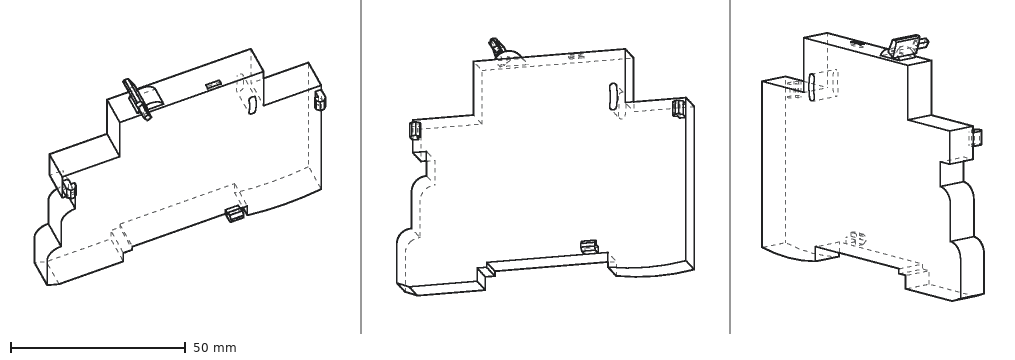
import cadquery as cq
import math


housing_width = 9.0
overall_width = 13.0
housing_depth = 85.8
overall_height = 72.25

tower_top = 65.9
tower_front = 22.7
tower_back = 67.8
shoulder_top = 49.85
shoulder_front = 4.7
shoulder_bottom = 40.1

upper_nose_radius = 4.5
lower_nose_radius = 4.3
upper_nose_front = 4.4
recess_wall = upper_nose_front + upper_nose_radius
upper_nose_top = 32.8
lower_nose_top = 17.4

front_bevel_depth = 3.7
front_bevel_height = 1.5
notch_front = 23.85
notch_step_back = 26.7
notch_step_height = 3.95
notch_top = 5.4
notch_back = 62.6
belly_rise = 1.0

slot_width = 2.1
slot_path_radius = 17.2
slot_path_height = 5.8
slot_center_y = 64.4
slot_center_z = 51.9

window_left = 6.7
window_width = 1.4
window_front = 50.7
window_length = 4.2
window_thickness = 0.9

rocker_left = 2.1
rocker_width = 6.0
rocker_center_y = 32.8
rocker_height = 2.6
rocker_chord = 8.2
rocker_radius = (rocker_chord**2 / 4 + rocker_height**2) / (2 * rocker_height)
rocker_center_z = tower_top + rocker_height - rocker_radius

lever_foot_back = 31.3
lever_foot_front = 29.3
lever_tip_front = 27.7
lever_tip_back = 29.35
lever_bevel_depth = 0.5
lever_bevel_height = 0.5

peg_thickness = 1.55
peg_length = 2.15
peg_center_y = 29.7
peg_center_z = 69.2
peg_lean = 31.0

hook_reach = overall_width - housing_width
hook_neck_length = 2.0
hook_neck_thickness = 1.9
hook_head_thickness = 3.0
hook_bevel = 0.95
hook_width = 4.0
side_hook_bottom = 43.85
low_hook_front = 55.8


def rocker_surface_z(y):
    """Height of the rocker's round surface at depth y."""
    return rocker_center_z + math.sqrt(rocker_radius**2 - (y - rocker_center_y) ** 2)


def make_housing():
    """Stepped plate with its profile in the YZ plane."""
    upper_center_z = upper_nose_top - upper_nose_radius
    upper_arc_offset = upper_nose_radius * math.sqrt(0.5)
    lower_center_z = lower_nose_top - lower_nose_radius
    lower_arc_offset = lower_nose_radius * math.sqrt(0.5)
    return (
        cq.Workplane("YZ")
        .moveTo(0, front_bevel_height)
        .lineTo(front_bevel_depth, 0)
        .lineTo(notch_front, 0)
        .lineTo(notch_front, notch_step_height)
        .lineTo(notch_step_back, notch_step_height)
        .lineTo(notch_step_back, notch_top)
        .lineTo(notch_back, notch_top)
        .lineTo(notch_back, belly_rise)
        .threePointArc(((notch_back + housing_depth) / 2, 0), (housing_depth, belly_rise))
        .lineTo(housing_depth, shoulder_top)
        .lineTo(tower_back, shoulder_top)
        .lineTo(tower_back, tower_top)
        .lineTo(tower_front, tower_top)
        .lineTo(tower_front, shoulder_top)
        .lineTo(shoulder_front, shoulder_top)
        .lineTo(shoulder_front, shoulder_bottom)
        .lineTo(recess_wall, shoulder_bottom)
        .lineTo(recess_wall, upper_nose_top)
        .threePointArc(
            (recess_wall - upper_arc_offset, upper_center_z + upper_arc_offset),
            (upper_nose_front, upper_center_z),
        )
        .lineTo(upper_nose_front, lower_nose_top)
        .lineTo(lower_nose_radius, lower_nose_top)
        .threePointArc(
            (lower_nose_radius - lower_arc_offset, lower_center_z + lower_arc_offset),
            (0, lower_center_z),
        )
        .close()
        .extrude(housing_width)
    )


def make_slot():
    """Cutter for the curved slot, bowed toward the back, with round ends."""
    arc_center_y = slot_center_y - slot_path_radius
    half_angle = math.asin(slot_path_height / 2 / slot_path_radius)
    inner = slot_path_radius - slot_width / 2
    outer = slot_path_radius + slot_width / 2
    end_turn = half_angle + math.asin(slot_width / 2 / slot_path_radius)

    def point(radius, angle):
        return (arc_center_y + radius * math.cos(angle), slot_center_z + radius * math.sin(angle))

    return (
        cq.Workplane("YZ")
        .moveTo(*point(inner, -half_angle))
        .threePointArc(point(inner, 0), point(inner, half_angle))
        .threePointArc(point(slot_path_radius, end_turn), point(outer, half_angle))
        .threePointArc(point(outer, 0), point(outer, -half_angle))
        .threePointArc(point(slot_path_radius, -end_turn), point(inner, -half_angle))
        .close()
        .extrude(housing_width)
    )


def make_window():
    """Small flat window set into the tower top."""
    corner = (window_left, window_front, tower_top - window_thickness)
    return cq.Workplane("XY", origin=corner).box(
        window_width, window_length, window_thickness, centered=False
    )


def make_rocker():
    """Round segment standing on the tower top."""
    return (
        cq.Workplane("YZ", origin=(rocker_left, 0, 0))
        .moveTo(rocker_center_y - rocker_chord / 2, tower_top)
        .threePointArc(
            (rocker_center_y, tower_top + rocker_height),
            (rocker_center_y + rocker_chord / 2, tower_top),
        )
        .close()
        .extrude(rocker_width)
    )


def make_lever():
    """Full-width handle whose foot follows the rocker, with the coupling peg on its right side."""
    foot_middle = (lever_foot_front + lever_foot_back) / 2
    handle = (
        cq.Workplane("YZ")
        .moveTo(lever_foot_front, rocker_surface_z(lever_foot_front))
        .threePointArc(
            (foot_middle, rocker_surface_z(foot_middle)),
            (lever_foot_back, rocker_surface_z(lever_foot_back)),
        )
        .lineTo(lever_tip_back, overall_height)
        .lineTo(lever_tip_front + lever_bevel_depth, overall_height)
        .lineTo(lever_tip_front, overall_height - lever_bevel_height)
        .close()
        .extrude(housing_width)
    )
    peg = (
        cq.Workplane("YZ", origin=(housing_width, peg_center_y, peg_center_z))
        .transformed(rotate=(0, 0, peg_lean))
        .rect(peg_thickness, peg_length)
        .extrude(hook_reach)
    )
    return handle.union(peg)


def make_hook(plane):
    """Snap hook on a plane whose origin is the outer corner of its root.

    The plane's x points out of the housing, its y toward the barb, and the
    hook is as wide as hook_width along the plane's normal.
    """
    bevel_start = hook_reach - hook_bevel
    return (
        cq.Workplane(plane)
        .polyline(
            [
                (0, 0),
                (bevel_start, 0),
                (hook_reach, hook_bevel),
                (hook_reach, hook_head_thickness - hook_bevel),
                (bevel_start, hook_head_thickness),
                (hook_neck_length, hook_head_thickness),
                (hook_neck_length, hook_neck_thickness),
                (0, hook_neck_thickness),
            ]
        )
        .close()
        .extrude(hook_width)
    )


outward = (1, 0, 0)
hook_placements = [
    ((housing_width, shoulder_front, side_hook_bottom), (0, 0, 1)),
    ((housing_width, housing_depth, side_hook_bottom + hook_width), (0, 0, -1)),
    ((housing_width, low_hook_front + hook_width, notch_top), (0, -1, 0)),
]

window = make_window()
housing = make_housing().cut(make_slot()).cut(window)
rocker = make_rocker()
lever = make_lever()
hooks = [make_hook(cq.Plane(root, outward, normal)) for root, normal in hook_placements]

result = cq.Compound.makeCompound(
    [housing.val(), window.val(), rocker.val(), lever.val(), *[hook.val() for hook in hooks]]
)